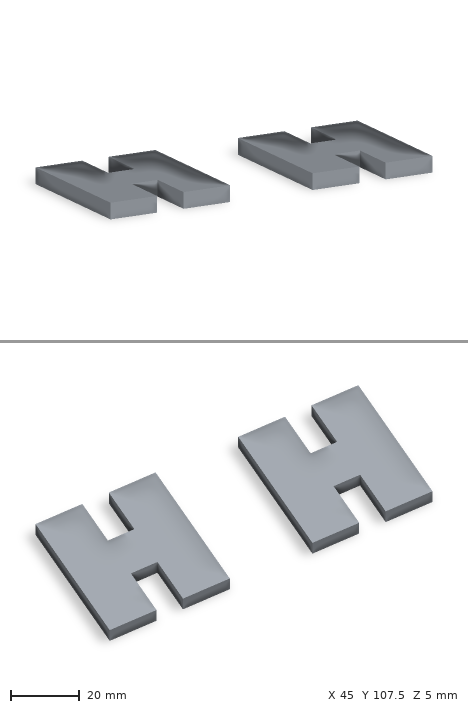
import cadquery as cq

total_length = 107.5
plate_width = 45.0
plate_length = 40.0
plate_thickness = 5.0

waist_width = 14.0
notch_length = 8.8

notch_depth = (plate_width - waist_width) / 2
notch_offset = (plate_width - notch_depth) / 2
plate_offset = (total_length - plate_length) / 2


def make_plate(center_y):
    """H-shaped plate resting on Z = 0, centered on X = 0."""
    plate = cq.Workplane("XY").box(
        plate_width, plate_length, plate_thickness, centered=(True, True, False)
    )
    notches = (
        cq.Workplane("XY")
        .pushPoints([(-notch_offset, 0), (notch_offset, 0)])
        .rect(notch_depth, notch_length)
        .extrude(plate_thickness)
    )
    return plate.cut(notches).translate((0, center_y, 0))


plates = [make_plate(center_y) for center_y in (-plate_offset, plate_offset)]

result = cq.Compound.makeCompound([plate.val() for plate in plates])